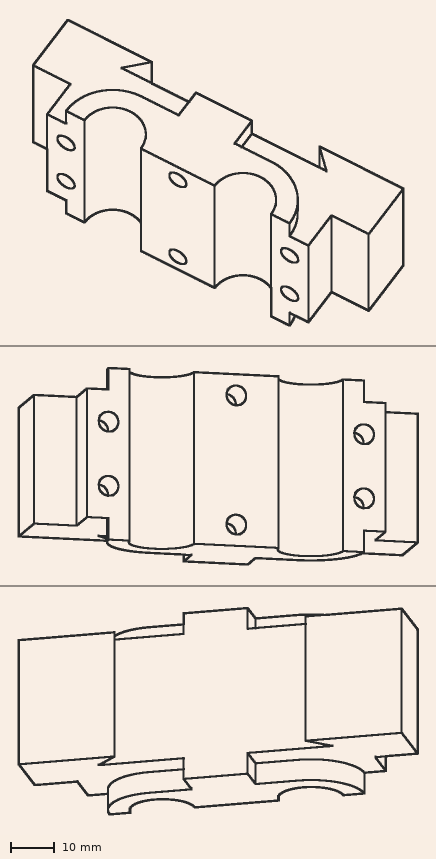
import cadquery as cq

width = 90.0
depth = 25.0
height = 40.0
core_height = 30.0
body_width = 70.0
flange_depth = 15.0

slot_depth = 5.0
slot_floor_width = 55.0
slot_mouth_width = slot_floor_width - 2 * slot_depth

seat_offset = 17.5
seat_radius = 7.6
saddle_radius = 12.5
rib_width = 15.0

hole_diameter = 4.6
hole_depth = 10.0
side_hole_x = 30.0
side_hole_z = 7.5
center_hole_z = 15.0

slot_floor_y = depth - slot_depth


def centered_prism(profile, prism_height):
    """Extrude an XY profile into a prism centred on Z = 0."""
    return profile.extrude(prism_height).translate((0, 0, -prism_height / 2))


def make_core():
    """Flanged middle block with the dovetail slot in its back."""
    flange_y = depth - flange_depth
    profile = (
        cq.Workplane("XY")
        .moveTo(0, 0)
        .lineTo(body_width / 2, 0)
        .lineTo(body_width / 2, flange_y)
        .lineTo(width / 2, flange_y)
        .lineTo(width / 2, depth)
        .lineTo(slot_mouth_width / 2, depth)
        .lineTo(slot_floor_width / 2, slot_floor_y)
        .lineTo(0, slot_floor_y)
        .mirrorY()
    )
    return centered_prism(profile, core_height)


def make_saddle():
    """Taller saddle: a rounded band over both seats and a central rib."""
    saddles = cq.Workplane("XY").pushPoints([(-seat_offset, 0), (seat_offset, 0)]).circle(saddle_radius)
    bridge = cq.Workplane("XY").rect(2 * seat_offset, 2 * saddle_radius)
    rib = cq.Workplane("XY").rect(rib_width, 2 * slot_floor_y)
    saddle = centered_prism(saddles, height)
    saddle = saddle.union(centered_prism(bridge, height))
    saddle = saddle.union(centered_prism(rib, height))
    front_half = cq.Workplane("XY").box(width, depth, height, centered=(True, False, True))
    return saddle.intersect(front_half)


def make_seats():
    """Rod cylinders centred on the clamping face."""
    circles = cq.Workplane("XY").pushPoints([(-seat_offset, 0), (seat_offset, 0)]).circle(seat_radius)
    return centered_prism(circles, height)


def make_holes():
    """Blind holes entering from the clamping face."""
    centers = [(x, z) for x in (-side_hole_x, side_hole_x) for z in (-side_hole_z, side_hole_z)]
    centers += [(0, -center_hole_z), (0, center_hole_z)]
    return cq.Workplane("XZ").pushPoints(centers).circle(hole_diameter / 2).extrude(-hole_depth)


result = make_core().union(make_saddle()).cut(make_seats()).cut(make_holes())